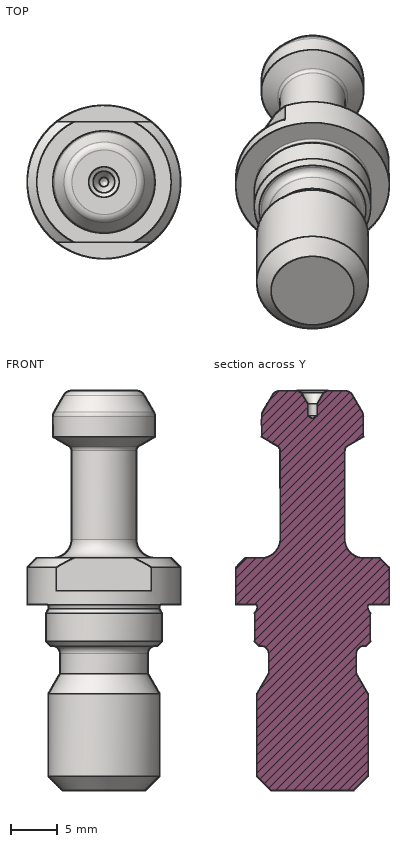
import cadquery as cq
import math


total_height = 43.0
head_corner_z = 40.45
head_underside_z = 38.0
flange_top_z = 25.03
flat_floor_z = 21.5
flange_bottom_z = 20.0
collar_top_z = 19.05
collar_bottom_z = 15.52
neck_bottom_z = 12.55

head_radius = 11.0 / 2
shaft_radius = 7.0 / 2
flange_radius = 16.5 / 2
relief_radius = 5.98
collar_radius = 12.5 / 2
neck_radius = 9.5 / 2
thread_radius = 12.0 / 2

flange_chamfer = 1.05
collar_chamfer = 0.5
thread_chamfer = 1.55
head_fillet = 1.0
shaft_top_fillet = 0.5
shaft_base_fillet = 1.98
neck_fillet = 0.77
relief_fillet = 0.2

flat_spacing = 13.0

countersink_radius = 1.65
guide_radius = 1.15
pilot_radius = 1.0 / 2
pilot_length = 1.3

tan_30 = math.tan(math.radians(30))
tan_60 = math.tan(math.radians(60))

head_top_radius = head_radius - (total_height - head_corner_z) * tan_30
shaft_top_z = head_underside_z - (head_radius - shaft_radius) / tan_60
relief_bottom_z = collar_top_z + (collar_radius - relief_radius) / tan_30
thread_top_z = neck_bottom_z - (thread_radius - neck_radius) / tan_30


def quarter_point(center, radius, x_sign, z_sign):
    """Middle of a quarter arc, in the quadrant given by the signs."""
    offset = radius * math.sqrt(0.5)
    return (center[0] + x_sign * offset, center[1] + z_sign * offset)


def turned_body():
    neck_arc_center = (neck_radius + neck_fillet, collar_bottom_z - neck_fillet)
    relief_arc_center = (relief_radius + relief_fillet, flange_bottom_z - relief_fillet)
    base_arc_center = (shaft_radius + shaft_base_fillet, flange_top_z + shaft_base_fillet)
    profile = (
        cq.Workplane("XZ")
        .moveTo(0, 0)
        .lineTo(thread_radius - thread_chamfer, 0)
        .lineTo(thread_radius, thread_chamfer)
        .lineTo(thread_radius, thread_top_z)
        .lineTo(neck_radius, neck_bottom_z)
        .lineTo(neck_radius, neck_arc_center[1])
        .threePointArc(
            quarter_point(neck_arc_center, neck_fillet, -1, 1),
            (neck_arc_center[0], collar_bottom_z),
        )
        .lineTo(collar_radius - collar_chamfer, collar_bottom_z)
        .lineTo(collar_radius, collar_bottom_z + collar_chamfer)
        .lineTo(collar_radius, collar_top_z)
        .lineTo(relief_radius, relief_bottom_z)
        .lineTo(relief_radius, relief_arc_center[1])
        .threePointArc(
            quarter_point(relief_arc_center, relief_fillet, -1, 1),
            (relief_arc_center[0], flange_bottom_z),
        )
        .lineTo(flange_radius, flange_bottom_z)
        .lineTo(flange_radius, flange_top_z - flange_chamfer)
        .lineTo(flange_radius - flange_chamfer, flange_top_z)
        .lineTo(base_arc_center[0], flange_top_z)
        .threePointArc(
            quarter_point(base_arc_center, shaft_base_fillet, -1, -1),
            (shaft_radius, base_arc_center[1]),
        )
        .lineTo(shaft_radius, shaft_top_z)
        .lineTo(head_radius, head_underside_z)
        .lineTo(head_radius, head_corner_z)
        .lineTo(head_top_radius, total_height)
        .lineTo(0, total_height)
        .close()
    )
    return profile.revolve(360, (0, 0), (0, 1))


def fillet_ring(body, height, radius):
    """Round the circular edge at the given height."""
    ring = cq.selectors.NearestToPointSelector((0, 0, height))
    return body.edges(ring).fillet(radius)


def flat_cutter(side):
    """Block that leaves a wrench flat on the +Y (1) or -Y (-1) side."""
    width = 2 * flange_radius
    depth = flange_radius
    return (
        cq.Workplane("XY", origin=(0, side * (flat_spacing + depth) / 2, flat_floor_z))
        .rect(width, depth)
        .extrude(flange_top_z - flat_floor_z)
    )


def center_hole():
    guide_top_z = total_height - (countersink_radius - guide_radius) / tan_60
    pilot_top_z = guide_top_z - (guide_radius - pilot_radius) / tan_30
    pilot_bottom_z = pilot_top_z - pilot_length
    tip_z = pilot_bottom_z - pilot_radius / tan_60
    outline = [
        (0, total_height),
        (countersink_radius, total_height),
        (guide_radius, guide_top_z),
        (pilot_radius, pilot_top_z),
        (pilot_radius, pilot_bottom_z),
        (0, tip_z),
    ]
    return cq.Workplane("XZ").polyline(outline).close().revolve(360, (0, 0), (0, 1))


result = turned_body()
for ring_height, ring_fillet in (
    (total_height, head_fillet),
    (head_corner_z, head_fillet),
    (shaft_top_z, shaft_top_fillet),
):
    result = fillet_ring(result, ring_height, ring_fillet)

for side in (-1, 1):
    result = result.cut(flat_cutter(side))

result = result.cut(center_hole())